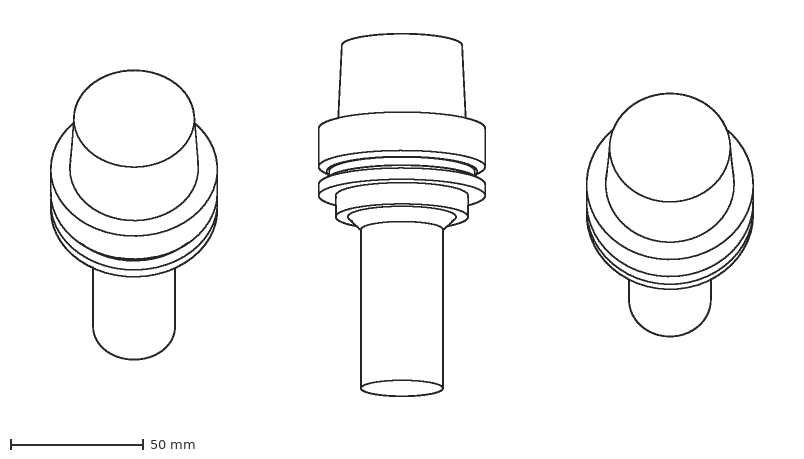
import cadquery as cq

total_height = 132.0
flange_diameter = 63.0
flange_bottom = 74.2
flange_top = 100.0

shank_diameter = 31.0
shank_length = 61.1
flare_top_diameter = 40.9
collar_bottom = 66.0
collar_diameter = 50.0

groove_diameter = 55.0
groove_bottom = 80.3
groove_top = 83.5
lip_chamfer_height = 1.7
lip_diameter = 56.9

seat_diameter = 48.5
seat_height = 2.1
taper_top_diameter = 45.5

profile = [
    (0, 0),
    (shank_diameter, 0),
    (shank_diameter, shank_length),
    (flare_top_diameter, collar_bottom),
    (collar_diameter, collar_bottom),
    (collar_diameter, flange_bottom),
    (flange_diameter, flange_bottom),
    (flange_diameter, groove_bottom - lip_chamfer_height),
    (lip_diameter, groove_bottom),
    (groove_diameter, groove_bottom),
    (groove_diameter, groove_top),
    (lip_diameter, groove_top),
    (flange_diameter, groove_top + lip_chamfer_height),
    (flange_diameter, flange_top),
    (seat_diameter, flange_top),
    (seat_diameter, flange_top + seat_height),
    (taper_top_diameter, total_height),
    (0, total_height),
]

result = (
    cq.Workplane("XZ")
    .polyline([(diameter / 2, height) for diameter, height in profile])
    .close()
    .revolve(360, (0, 0, 0), (0, 1, 0))
)

result = result.translate((0, 0, -total_height / 2))